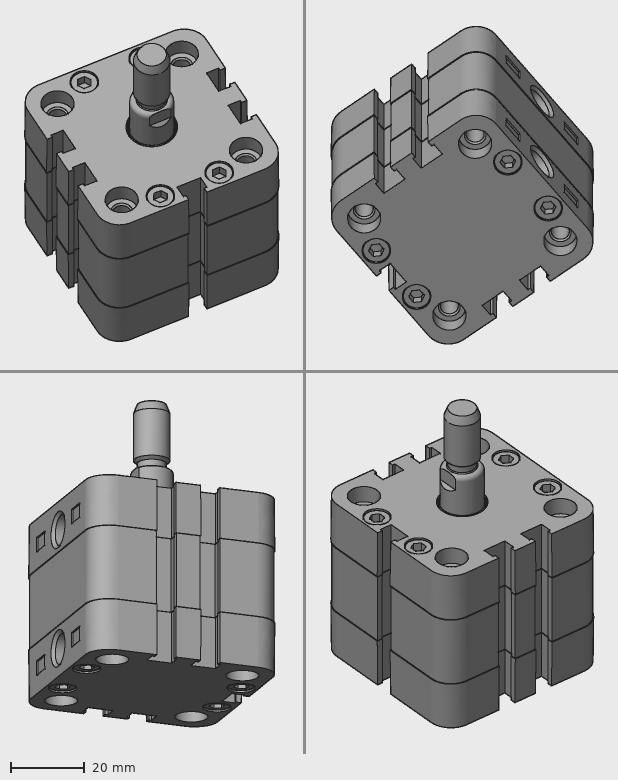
import cadquery as cq
import math

side = 54.8
cap_draft = 0.2
barrel_inset = 0.25
corner_radius = 7.0
body_height = 50.05
cap_height = 14.5
total_height = 81

barrel_height = body_height - 2 * cap_height
half_side = side / 2

slot_offset = 6.4
lip_depth = 1.8
cap_mouth_width = 5.6
cap_slot_width = 7.2
cap_slot_depth = 5.5
barrel_mouth_width = 5.8
barrel_slot_width = 6.9
barrel_slot_depth = 5.35

SLOT_PLACES = [(0, -1), (0, 1), (180, -1), (180, 1), (-90, 0)]

mount_spacing = 38.0
mount_bore_diameter = 9.0
mount_bore_depth = 5.0
mount_thread_diameter = 4.95
mount_chamfer = 0.5

screw_x = 22.5
screw_y = 9.0
screw_diameter = 7.7
screw_recess_depth = 0.4
screw_chamfer = 0.25
hex_across_flats = 3.65
hex_depth = 3.0

port_from_end = 8.0
port_diameter = 8.6
port_mouth_diameter = 10.5
core_diameter = 40.0

label_offset = 13.0
label_width = 6.1
label_height = 4.1
label_from_end = 7.4
label_depth = 0.5

rod_diameter = 12.0
shoulder_height = 62.1
shoulder_fillet = 1.4
flat_width = 10.0
flat_bottom = 57.8
neck_diameter = 7.9
neck_foot_width = 0.3
neck_foot_height = 0.25
thread_diameter = 10.0
thread_bottom = 65.05
thread_relief_height = 0.8
tip_diameter = 7.9
tip_height = 2.6
tip_crown = 0.1

opening_diameter = 14.0
lip_diameter = 13.05
groove_depth = 0.25
guide_diameter = 12.55
guide_depth = 2.4


def cut_slots(body, height, mouth_width, slot_width, slot_depth):
    """Cut the five T-slots along the full height of a body standing on z = 0."""
    mouth = cq.Workplane("XY").rect(mouth_width, 2 * lip_depth).extrude(height)
    undercut_depth = slot_depth - lip_depth
    undercut = (
        cq.Workplane("XY").center(0, -lip_depth - undercut_depth / 2)
        .rect(slot_width, undercut_depth).extrude(height)
    )
    slot = mouth.union(undercut)
    for turn, side_step in SLOT_PLACES:
        placed = slot.translate((side_step * slot_offset, half_side, 0))
        body = body.cut(placed.rotate((0, 0, 0), (0, 0, 1), turn))
    return body


def square_points(x, y):
    """Four points mirrored about both middle planes."""
    return [(-x, -y), (-x, y), (x, -y), (x, y)]


def revolved(profile):
    """Solid of revolution about Z from (radius, height) points."""
    return cq.Workplane("XZ").polyline(profile).close().revolve(360, (0, 0, 0), (0, 1, 0))


def cap_block():
    """Drafted block with its wide end on z = 0 and its outer end on z = cap_height."""
    draft_angle = math.degrees(math.atan(cap_draft / cap_height))
    outline = cq.Sketch().rect(side, side).vertices().fillet(corner_radius)
    block = cq.Workplane("XY").placeSketch(outline).extrude(cap_height, taper=draft_angle)
    return cut_slots(block, cap_height, cap_mouth_width, cap_slot_width, cap_slot_depth)


def cut_mounting_holes(cap):
    half_spacing = mount_spacing / 2
    bore_floor = cap_height - mount_bore_depth
    thread_radius = mount_thread_diameter / 2
    hole = revolved([
        (0, 0), (thread_radius, 0), (thread_radius, bore_floor - mount_chamfer),
        (thread_radius + mount_chamfer, bore_floor), (mount_bore_diameter / 2, bore_floor),
        (mount_bore_diameter / 2, cap_height), (0, cap_height),
    ])
    for x, y in square_points(half_spacing, half_spacing):
        cap = cap.cut(hole.translate((x, y, 0)))
    return cap


def cut_screw_heads(cap):
    """Sunk round heads with a chamfered rim and a hexagon socket."""
    radius = screw_diameter / 2
    head_top = cap_height - screw_recess_depth
    recess = revolved([
        (0, cap_height), (0, head_top), (radius - screw_chamfer, head_top),
        (radius, head_top - screw_chamfer), (radius, cap_height),
    ])
    hex_across_corners = hex_across_flats / math.cos(math.radians(30))
    socket = (
        cq.Workplane("XY").workplane(offset=cap_height)
        .polygon(6, hex_across_corners).extrude(-hex_depth)
        .rotate((0, 0, 0), (0, 0, 1), 30)
    )
    head_cutter = recess.union(socket)
    for x, y in square_points(screw_x, screw_y):
        cap = cap.cut(head_cutter.translate((x, y, 0)))
    return cap


def cut_port(cap):
    port_z = cap_height - port_from_end
    chamfer = (port_mouth_diameter - port_diameter) / 2
    port_face = cq.Workplane("YZ", origin=(-half_side, 0, port_z))
    bore = port_face.circle(port_diameter / 2).extrude(half_side)
    mouth = port_face.circle(port_mouth_diameter / 2).workplane(offset=chamfer)
    mouth = mouth.circle(port_diameter / 2).loft()
    core = cq.Workplane("XY").circle(core_diameter / 2).extrude(cap_height)
    return cap.cut(bore.cut(core)).cut(mouth)


def cut_labels(cap):
    label_z = cap_height - label_from_end
    for y in (-label_offset, label_offset):
        pocket = cq.Workplane("XY").box(2 * label_depth, label_width, label_height)
        cap = cap.cut(pocket.translate((cap_draft / 2 - half_side, y, label_z)))
    return cap


def make_cap():
    """Plain end cap: wide end on z = 0, outer end on z = cap_height."""
    cap = cut_mounting_holes(cap_block())
    cap = cut_screw_heads(cap)
    cap = cut_port(cap)
    return cut_labels(cap)


def make_rear_cap():
    return make_cap().mirror("XY").translate((0, 0, cap_height))


def make_head_cap():
    """End cap with the rod passing through it."""
    mouth_radius = opening_diameter / 2
    lip_radius = lip_diameter / 2
    groove_radius = (mouth_radius + lip_radius) / 2
    guide_radius = guide_diameter / 2
    rod_radius = rod_diameter / 2
    opening = revolved([
        (0, 0), (rod_radius, 0),
        (rod_radius, cap_height - guide_depth), (guide_radius, cap_height - guide_depth),
        (guide_radius, cap_height - groove_depth), (lip_radius, cap_height), (0, cap_height),
    ])
    groove = revolved([
        (lip_radius, cap_height), (groove_radius, cap_height - groove_depth),
        (mouth_radius, cap_height),
    ])
    cap = make_cap().cut(opening).cut(groove)
    return cap.translate((0, 0, body_height - cap_height))


def make_barrel():
    width = side - 2 * barrel_inset
    barrel = cq.Workplane("XY").rect(width, width).extrude(barrel_height)
    barrel = barrel.edges("|Z").fillet(corner_radius - barrel_inset)
    barrel = cut_slots(
        barrel, barrel_height, barrel_mouth_width, barrel_slot_width, barrel_slot_depth
    )
    return barrel.translate((0, 0, cap_height))


def make_rod():
    """Piston rod resting on the barrel, with a necked thread end and two wrench flats."""
    rod_radius = rod_diameter / 2
    neck_radius = neck_diameter / 2
    thread_radius = thread_diameter / 2
    tip_radius = tip_diameter / 2
    shoulder_edge = shoulder_height - shoulder_fillet
    diagonal = shoulder_fillet * math.sqrt(0.5)
    tip_bottom = total_height - tip_height
    rod = (
        cq.Workplane("XZ")
        .moveTo(0, body_height - cap_height)
        .lineTo(rod_radius, body_height - cap_height)
        .lineTo(rod_radius, shoulder_edge)
        .threePointArc(
            (rod_radius - shoulder_fillet + diagonal, shoulder_edge + diagonal),
            (rod_radius - shoulder_fillet, shoulder_height),
        )
        .lineTo(neck_radius + neck_foot_width, shoulder_height)
        .lineTo(neck_radius, shoulder_height + neck_foot_height)
        .lineTo(neck_radius, thread_bottom - thread_relief_height)
        .lineTo(thread_radius, thread_bottom)
        .lineTo(thread_radius, tip_bottom)
        .sagittaArc((tip_radius, total_height), -tip_crown)
        .lineTo(0, total_height)
        .close()
        .revolve(360, (0, 0, 0), (0, 1, 0))
    )
    half_flat = flat_width / 2
    flat_depth = rod_diameter - half_flat
    cutter = (
        cq.Workplane("XZ")
        .polyline([
            (half_flat, flat_bottom), (half_flat, shoulder_height),
            (half_flat + flat_depth, shoulder_height),
            (half_flat + flat_depth, flat_bottom - flat_depth),
        ])
        .close()
        .extrude(rod_radius, both=True)
    )
    return rod.cut(cutter).cut(cutter.mirror("YZ"))


rear_cap = make_rear_cap()
barrel = make_barrel()
head_cap = make_head_cap()
rod = make_rod()

result = cq.Compound.makeCompound([rear_cap.val(), barrel.val(), head_cap.val(), rod.val()])